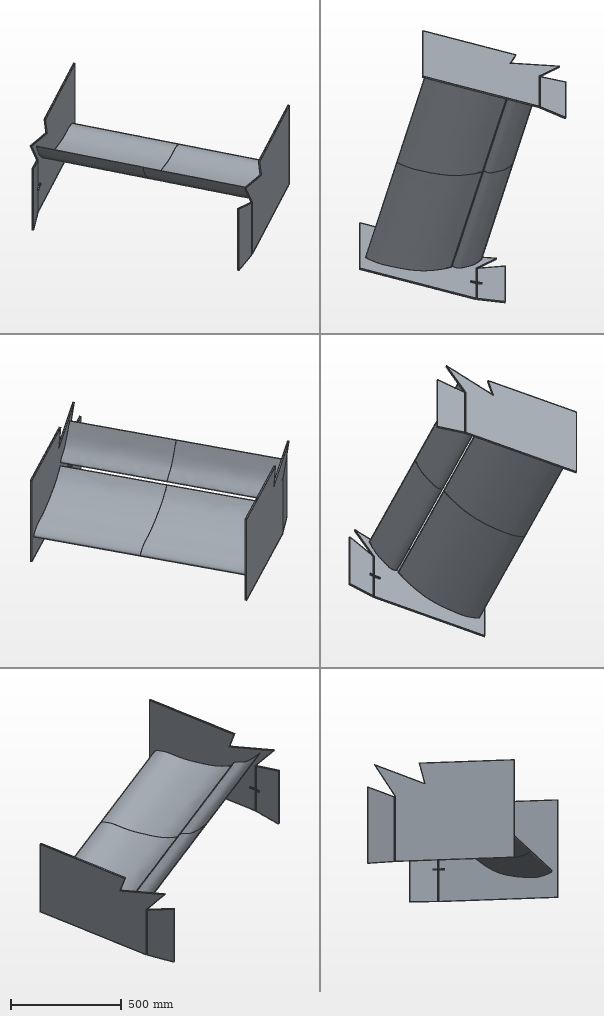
import cadquery as cq
import math

SPAN = 1030.0
DEPTH = 683.0
HEIGHT = 450.0
PLATE_THICKNESS = 7.0
PLATE_INNER_X = SPAN / 2 - PLATE_THICKNESS

PLATE_EDGE_Y = 133.0
EDGE_TOP_Z = 299.0
HORN_TIP_Y = 36.0
NOTCH_TOP_Y = 243.0
NOTCH_ROOT_Y = 269.0
NOTCH_ROOT_Z = 354.0

FLAP_ROOT_Y = 127.0
FLAP_ROOT_X = 514.0
FLAP_TIP_Z = 352.0
FLAP_ANGLE = 9.0

BRACKET_Z = 144.0
BRACKET_HEIGHT = 5.0
BRACKET_THICKNESS = 6.0
BRACKET_PLATE_LEG = 27.0
BRACKET_FLAP_LEG = 19.0

TRAILING_THICKNESS = 2.0
MAIN_NOSE = (656.0, 124.0)
MAIN_TAIL = (250.0, 243.0)
MAIN_UPPER = [(642.0, 136.0), (522.0, 152.0), (427.0, 168.0), (343.0, 191.0)]
MAIN_LOWER = [(633.0, 107.0), (536.0, 96.0), (412.0, 122.0), (319.0, 178.0)]
UPPER_NOSE = (246.0, 259.0)
UPPER_TAIL = (107.0, 397.0)
UPPER_UPPER = [(239.0, 268.0), (196.0, 293.0), (148.0, 340.0)]
UPPER_LOWER = [(236.0, 251.0), (192.0, 272.0), (144.0, 325.0)]


def make_end_plate():
    outline = [
        (DEPTH, 0),
        (PLATE_EDGE_Y, 0),
        (PLATE_EDGE_Y, EDGE_TOP_Z),
        (HORN_TIP_Y, HEIGHT),
        (NOTCH_ROOT_Y, NOTCH_ROOT_Z),
        (NOTCH_TOP_Y, HEIGHT),
        (DEPTH, HEIGHT),
    ]
    plane = cq.Workplane("YZ", origin=(PLATE_INNER_X, 0, 0))
    return plane.polyline(outline).close().extrude(PLATE_THICKNESS)


def make_flap():
    """Build the flap parallel to the end plate, then swing it inward about its root edge."""
    angle = math.radians(FLAP_ANGLE)
    length = FLAP_ROOT_Y / math.cos(angle)
    tip_y = FLAP_ROOT_Y - length
    outline = [(FLAP_ROOT_Y, 0), (tip_y, 0), (tip_y, FLAP_TIP_Z), (FLAP_ROOT_Y, EDGE_TOP_Z)]
    plane = cq.Workplane("YZ", origin=(FLAP_ROOT_X, 0, 0))
    flap = plane.polyline(outline).close().extrude(-PLATE_THICKNESS)
    return flap.rotate((FLAP_ROOT_X, FLAP_ROOT_Y, 0), (FLAP_ROOT_X, FLAP_ROOT_Y, 1), -FLAP_ANGLE)


def make_bracket():
    """Bent strip lying on the inner faces of the end plate and the flap."""
    angle = math.radians(FLAP_ANGLE)
    flap_inner_x = FLAP_ROOT_X - PLATE_THICKNESS / math.cos(angle)
    bend_y = FLAP_ROOT_Y + (PLATE_INNER_X - flap_inner_x) / math.tan(angle)
    end_y = FLAP_ROOT_Y - BRACKET_FLAP_LEG
    end_x = PLATE_INNER_X - (bend_y - end_y) * math.tan(angle)
    strip_offset = BRACKET_THICKNESS / math.cos(angle)
    inner_bend_y = bend_y + BRACKET_THICKNESS * math.tan(angle / 2)
    inner_end_x = end_x - strip_offset
    start_y = PLATE_EDGE_Y + BRACKET_PLATE_LEG
    outline = [
        (PLATE_INNER_X, start_y),
        (PLATE_INNER_X, bend_y),
        (end_x, end_y),
        (inner_end_x, end_y),
        (PLATE_INNER_X - BRACKET_THICKNESS, inner_bend_y),
        (PLATE_INNER_X - BRACKET_THICKNESS, start_y),
    ]
    plane = cq.Workplane("XY", origin=(0, 0, BRACKET_Z))
    return plane.polyline(outline).close().extrude(BRACKET_HEIGHT)


def make_wing_half(nose, tail, upper, lower):
    """Extrude a cambered section with a rounded nose and a thin blunt trailing edge."""
    tail_upper = (tail[0] + TRAILING_THICKNESS, tail[1])
    surface = [tail_upper, *reversed(upper), nose, *lower, tail]
    section = cq.Workplane("YZ").spline(surface).close()
    return section.extrude(PLATE_INNER_X)


half_bodies = [
    make_end_plate(),
    make_flap(),
    make_bracket(),
    make_wing_half(MAIN_NOSE, MAIN_TAIL, MAIN_UPPER, MAIN_LOWER),
    make_wing_half(UPPER_NOSE, UPPER_TAIL, UPPER_UPPER, UPPER_LOWER),
]

bodies = []
for body in half_bodies:
    bodies.append(body.val())
    bodies.append(body.mirror("YZ").val())

result = cq.Compound.makeCompound(bodies)